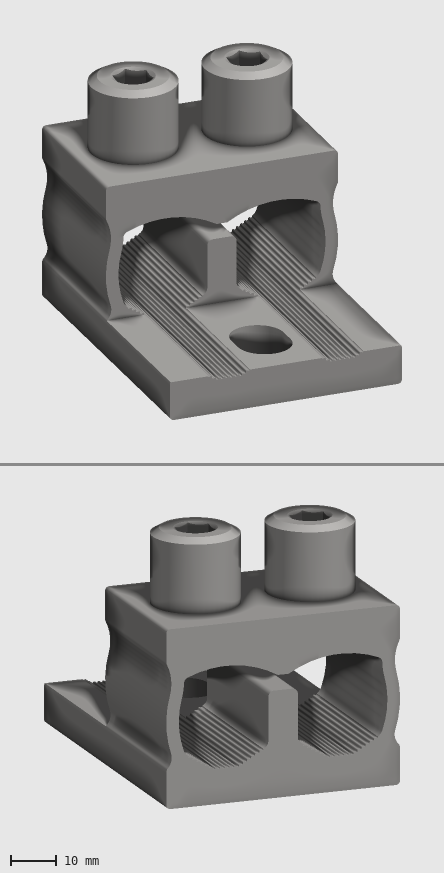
import cadquery as cq
import math

body_length = 74.0
body_width = 55.0
block_length = body_length / 2
block_height = 41.0
plate_thickness = 9.1
corner_radius = 0.95
side_y = body_width / 2

wall_thickness = 2.95
bulge_radius = 22.95
bulge_z = 19.7
upper_neck_radius = 10.0
upper_neck_z = 28.5
lower_neck_radius = 3.25
lower_neck_z = 11.6
neck_edge_radius = 1.5

lobe_y = 13.5
roof_z = 31.3
roof_radius = 24.0
roof_ridge_z = 28.0
roof_corner_radius = 1.5
rib_half_width = 3.5
rib_top_z = 24.5
rib_top_radius = 1.3
floor_z = 8.15
flat_half_waves = 11
slope_half_waves = 12
slope_angle = math.radians(30)
half_wave = 0.555
wave_height = 0.185
wall_foot_radius = 2.95
rib_foot_radius = 1.85

screw_x = block_length / 2
screw_radius = 10.0
screw_top_z = 58.0
screw_top_radius = 8.0
screw_tip_z = roof_ridge_z
screw_tip_radius = 2.9
cone_slope = math.tan(math.radians(30))
socket_across_flats = 8.0
socket_depth = 10.0
socket_rim_radius = 4.95

slot_x = 59.5
slot_length = 16.5
slot_width = 12.35


def toward(start, end, distance):
    """Point at a distance from start on the line through start and end."""
    share = distance / math.dist(start, end)
    return (start[0] + share * (end[0] - start[0]), start[1] + share * (end[1] - start[1]))


def arc_middle(center, radius, start, end):
    """Middle point of the shorter arc between two points of a circle."""
    chord_middle = ((start[0] + end[0]) / 2, (start[1] + end[1]) / 2)
    return toward(center, chord_middle, radius)


def add_arc(sketch, center, radius, start, end):
    return sketch.threePointArc(arc_middle(center, radius, start, end), end)


def circles_crossing(center_a, radius_a, center_b, radius_b):
    """Crossing of two circles that lies left of the direction from center a to center b."""
    gap = math.dist(center_a, center_b)
    along = (gap**2 + radius_a**2 - radius_b**2) / (2 * gap)
    across = math.sqrt(radius_a**2 - along**2)
    unit_y = (center_b[0] - center_a[0]) / gap
    unit_z = (center_b[1] - center_a[1]) / gap
    return (
        center_a[0] + along * unit_y - across * unit_z,
        center_a[1] + along * unit_z + across * unit_y,
    )


bulge_center = (side_y - bulge_radius, bulge_z)


def neck_center(neck_radius, neck_z):
    """Center of the neck circle that touches the bulge from outside."""
    reach = bulge_radius + neck_radius
    return (bulge_center[0] + math.sqrt(reach**2 - (neck_z - bulge_z) ** 2), neck_z)


def neck_edge_center(neck, neck_radius, direction):
    """Center of the rounding between a neck and the flat side, above (+1) or below (-1) the neck."""
    edge_y = side_y - neck_edge_radius
    reach = neck_radius + neck_edge_radius
    return (edge_y, neck[1] + direction * math.sqrt(reach**2 - (neck[0] - edge_y) ** 2))


upper_neck = neck_center(upper_neck_radius, upper_neck_z)
lower_neck = neck_center(lower_neck_radius, lower_neck_z)
upper_edge = neck_edge_center(upper_neck, upper_neck_radius, 1)
lower_edge = neck_edge_center(lower_neck, lower_neck_radius, -1)


def make_half_body():
    """Solid +Y half of the block, from the middle plane to the wavy side."""
    upper_edge_top = (side_y, upper_edge[1])
    upper_edge_end = toward(upper_edge, upper_neck, neck_edge_radius)
    upper_neck_end = toward(bulge_center, upper_neck, bulge_radius)
    lower_neck_start = toward(bulge_center, lower_neck, bulge_radius)
    lower_edge_start = toward(lower_edge, lower_neck, neck_edge_radius)
    lower_edge_bottom = (side_y, lower_edge[1])

    outline = cq.Workplane("YZ").moveTo(0, block_height).lineTo(side_y, block_height).lineTo(*upper_edge_top)
    outline = add_arc(outline, upper_edge, neck_edge_radius, upper_edge_top, upper_edge_end)
    outline = add_arc(outline, upper_neck, upper_neck_radius, upper_edge_end, upper_neck_end)
    outline = add_arc(outline, bulge_center, bulge_radius, upper_neck_end, lower_neck_start)
    outline = add_arc(outline, lower_neck, lower_neck_radius, lower_neck_start, lower_edge_start)
    outline = add_arc(outline, lower_edge, neck_edge_radius, lower_edge_start, lower_edge_bottom)
    half = outline.lineTo(side_y, 0).lineTo(0, 0).close().extrude(body_length)
    return round_edge(round_edge(half, (side_y, block_height), corner_radius), (side_y, 0), corner_radius)


def round_edge(solid, corner, radius):
    """Round the edge along X that passes through a (Y, Z) corner."""
    middle = (body_length / 2, corner[0], corner[1])
    return solid.edges(cq.selectors.NearestToPointSelector(middle)).fillet(radius)


def floor_joints():
    """Joints of the grooved floor from the outer wall to the rib: down a slope, across a flat, up a slope."""
    flat_half_width = half_wave * flat_half_waves / 2
    slope_run = half_wave * math.cos(slope_angle)
    slope_rise = half_wave * math.sin(slope_angle)
    slope = [
        (flat_half_width + step * slope_run, floor_z + step * slope_rise)
        for step in range(slope_half_waves + 1)
    ]
    flat = [(flat_half_width - step * half_wave, floor_z) for step in range(1, flat_half_waves)]
    rib_slope = [(-offset, z) for offset, z in slope]
    return [(lobe_y + offset, z) for offset, z in slope[::-1] + flat + rib_slope]


def add_waves(sketch, joints):
    """Groove profile of small arcs that bulge alternately below and above the line of the joints."""
    side = -1
    for start, end in zip(joints, joints[1:]):
        share = side * wave_height / half_wave
        middle = (
            (start[0] + end[0]) / 2 + share * (end[1] - start[1]),
            (start[1] + end[1]) / 2 - share * (end[0] - start[0]),
        )
        sketch = sketch.threePointArc(middle, end)
        side = -side
    return sketch


def make_half_cavity():
    """Void of the +Y lobe with its half of the opening above the rib."""
    roof_center = (lobe_y, roof_z - roof_radius)
    ridge_offset = math.sqrt(roof_radius**2 - (roof_ridge_z - roof_center[1]) ** 2)
    ridge_end = (lobe_y - ridge_offset, roof_ridge_z)

    inner_neck_radius = upper_neck_radius + wall_thickness
    inner_bulge_radius = bulge_radius - wall_thickness
    wall_top = circles_crossing(roof_center, roof_radius, upper_neck, inner_neck_radius)
    neck_end = toward(bulge_center, upper_neck, inner_bulge_radius)
    floor = floor_joints()

    wall_blend = circles_crossing(bulge_center, inner_bulge_radius - wall_foot_radius, floor[0], wall_foot_radius)
    wall_foot = toward(bulge_center, wall_blend, inner_bulge_radius)
    rib_blend_y = rib_half_width + rib_foot_radius
    rib_blend_rise = math.sqrt(rib_foot_radius**2 - (floor[-1][0] - rib_blend_y) ** 2)
    rib_blend = (rib_blend_y, floor[-1][1] + rib_blend_rise)
    rib_foot = (rib_half_width, rib_blend[1])

    outline = cq.Workplane("YZ").moveTo(0, roof_ridge_z).lineTo(*ridge_end)
    outline = add_arc(outline, roof_center, roof_radius, ridge_end, wall_top)
    outline = add_arc(outline, upper_neck, inner_neck_radius, wall_top, neck_end)
    outline = add_arc(outline, bulge_center, inner_bulge_radius, neck_end, wall_foot)
    outline = add_arc(outline, wall_blend, wall_foot_radius, wall_foot, floor[0])
    outline = add_waves(outline, floor)
    outline = add_arc(outline, rib_blend, rib_foot_radius, floor[-1], rib_foot)
    outline = outline.lineTo(rib_half_width, rib_top_z).lineTo(0, rib_top_z)
    cavity = outline.close().extrude(body_length)

    cavity = round_edge(cavity, wall_top, roof_corner_radius)
    return round_edge(cavity, (rib_half_width, rib_top_z), rib_top_radius)


def make_screw():
    """Screw turned around the Z axis, with a countersunk hexagon socket."""
    top_chamfer = (screw_radius - screw_top_radius) * cone_slope
    tip_height = (screw_radius - screw_tip_radius) * cone_slope
    screw = (
        cq.Workplane("XZ")
        .moveTo(0, screw_tip_z)
        .lineTo(screw_tip_radius, screw_tip_z)
        .lineTo(screw_radius, screw_tip_z + tip_height)
        .lineTo(screw_radius, screw_top_z - top_chamfer)
        .lineTo(screw_top_radius, screw_top_z)
        .lineTo(0, screw_top_z)
        .close()
        .revolve(360, (0, 0, 0), (0, 1, 0))
    )
    across_corners = socket_across_flats / math.cos(math.radians(30))
    socket = (
        cq.Workplane("XY", origin=(0, 0, screw_top_z))
        .polygon(6, across_corners)
        .extrude(-socket_depth)
    )
    countersink = cq.Workplane(
        cq.Solid.makeCone(
            socket_rim_radius,
            0,
            socket_rim_radius * cone_slope,
            pnt=cq.Vector(0, 0, screw_top_z),
            dir=cq.Vector(0, 0, -1),
        )
    )
    return screw.cut(socket).cut(countersink)


def both_sides(half):
    return half.union(half.mirror("XZ"))


body = both_sides(make_half_body()).cut(both_sides(make_half_cavity()))
above_plate = cq.Workplane("XY").box(
    body_length - block_length, body_width, block_height, centered=(False, True, False)
)
body = body.cut(above_plate.translate((block_length, 0, plate_thickness)))

slot = (
    cq.Workplane("XY")
    .center(slot_x, 0)
    .slot2D(slot_length, slot_width)
    .extrude(plate_thickness)
)
body = body.cut(slot)

result = body
for screw_y in (lobe_y, -lobe_y):
    result = result.union(make_screw().translate((screw_x, screw_y, 0)))